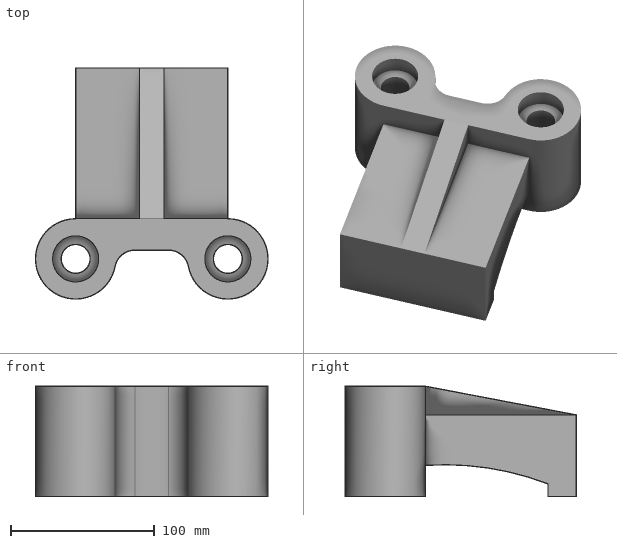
import cadquery as cq
import math

WIDTH = 162.0
HEIGHT = 77.0

BOSS_RADIUS = 28.0
BOSS_X = WIDTH / 2 - BOSS_RADIUS
WEB_FRONT_Y = 6.0
WEB_FILLET_RADIUS = 14.0

HOLE_DIAMETER = 20.0
COUNTERBORE_DIAMETER = 32.0
COUNTERBORE_DEPTH = 12.5

ARM_LENGTH = 105.0
ARM_WIDTH = 2 * BOSS_X
ARM_TOP_Z = 57.0
ARM_FRONT_Y = BOSS_RADIUS
ARM_BACK_Y = ARM_FRONT_Y + ARM_LENGTH
FOOT_LENGTH = 20.0
FOOT_STEP_Z = 8.9

ARCH_CROWN_Z = 22.2
ARCH_RADIUS = 200.0

RIB_WIDTH = 17.2


def make_bosses_and_web():
    """Two round bosses joined by a web, with concave fillets at the front."""
    fillet_y = WEB_FRONT_Y - WEB_FILLET_RADIUS
    center_distance = BOSS_RADIUS + WEB_FILLET_RADIUS
    fillet_x = BOSS_X - math.sqrt(center_distance**2 - fillet_y**2)
    touch = BOSS_RADIUS / center_distance
    touch_x = BOSS_X + touch * (fillet_x - BOSS_X)
    touch_y = touch * fillet_y

    boss_angle = math.atan2(-fillet_y, BOSS_X - fillet_x)
    middle_angle = (boss_angle + math.pi / 2) / 2
    middle_x = fillet_x + WEB_FILLET_RADIUS * math.cos(middle_angle)
    middle_y = fillet_y + WEB_FILLET_RADIUS * math.sin(middle_angle)

    web = (
        cq.Workplane("XY")
        .moveTo(-BOSS_X, BOSS_RADIUS)
        .lineTo(BOSS_X, BOSS_RADIUS)
        .lineTo(BOSS_X, 0)
        .lineTo(touch_x, touch_y)
        .threePointArc((middle_x, middle_y), (fillet_x, WEB_FRONT_Y))
        .lineTo(-fillet_x, WEB_FRONT_Y)
        .threePointArc((-middle_x, middle_y), (-touch_x, touch_y))
        .lineTo(-BOSS_X, 0)
        .close()
        .extrude(HEIGHT)
    )
    bosses = (
        cq.Workplane("XY")
        .pushPoints([(-BOSS_X, 0), (BOSS_X, 0)])
        .circle(BOSS_RADIUS)
        .extrude(HEIGHT)
    )
    return web.union(bosses)


def make_arm():
    """Block with a foot at its back end and an arched underside."""
    foot_front_y = ARM_BACK_Y - FOOT_LENGTH
    arch_rise = ARCH_CROWN_Z - FOOT_STEP_Z
    crown_y = foot_front_y - math.sqrt(2 * ARCH_RADIUS * arch_rise - arch_rise**2)
    middle_y = (crown_y + foot_front_y) / 2
    arch_center_z = ARCH_CROWN_Z - ARCH_RADIUS
    middle_z = arch_center_z + math.sqrt(ARCH_RADIUS**2 - (middle_y - crown_y) ** 2)
    front_z = arch_center_z + math.sqrt(ARCH_RADIUS**2 - (ARM_FRONT_Y - crown_y) ** 2)

    return (
        cq.Workplane("YZ")
        .moveTo(ARM_FRONT_Y, ARM_TOP_Z)
        .lineTo(ARM_BACK_Y, ARM_TOP_Z)
        .lineTo(ARM_BACK_Y, 0)
        .lineTo(foot_front_y, 0)
        .lineTo(foot_front_y, FOOT_STEP_Z)
        .threePointArc((middle_y, middle_z), (ARM_FRONT_Y, front_z))
        .close()
        .extrude(ARM_WIDTH / 2, both=True)
    )


def make_rib():
    """Wedge falling from the top of the web to the back edge of the arm."""
    return (
        cq.Workplane("YZ")
        .moveTo(ARM_FRONT_Y, ARM_TOP_Z)
        .lineTo(ARM_FRONT_Y, HEIGHT)
        .lineTo(ARM_BACK_Y, ARM_TOP_Z)
        .close()
        .extrude(RIB_WIDTH / 2, both=True)
    )


def cut_holes(body):
    """Counterbored holes down through both bosses."""
    return (
        body.faces(">Z")
        .workplane(origin=(0, 0, HEIGHT))
        .pushPoints([(-BOSS_X, 0), (BOSS_X, 0)])
        .cboreHole(HOLE_DIAMETER, COUNTERBORE_DIAMETER, COUNTERBORE_DEPTH)
    )


body = make_bosses_and_web().union(make_arm()).union(make_rib())
result = cut_holes(body)